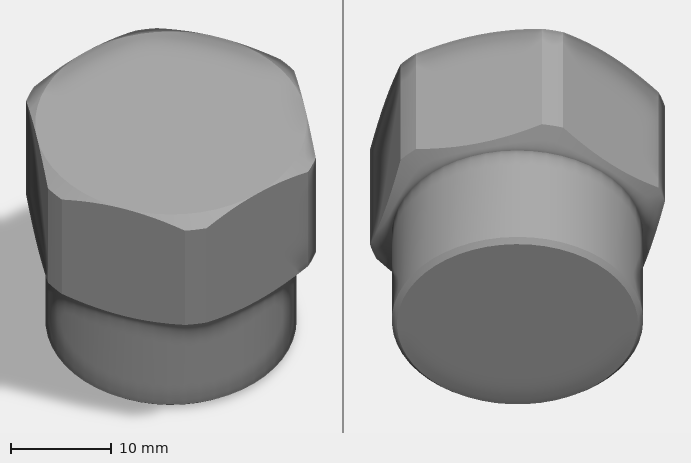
import cadquery as cq
import math

across_flats = 27.0
corner_diameter = 30.0
total_height = 27.0
shank_diameter = 24.98
shank_length = 12.0
shank_chamfer = 0.5
cone_angle = 30.0

corner_radius = corner_diameter / 2
flat_radius = across_flats / 2
shank_radius = shank_diameter / 2
head_height = total_height - shank_length
cone_slope = math.tan(math.radians(cone_angle))
top_cone_drop = (corner_radius - flat_radius) * cone_slope
bottom_cone_rise = (corner_radius - shank_radius) * cone_slope


def make_head():
    """Hexagonal head, with corners on X, trimmed by a double-coned cylinder."""
    across_corners = across_flats / math.cos(math.radians(30))
    hexagon = (
        cq.Workplane("XY")
        .workplane(offset=shank_length)
        .polygon(6, across_corners)
        .extrude(head_height)
    )
    turned_envelope = (
        cq.Workplane("XZ")
        .moveTo(0, shank_length)
        .lineTo(shank_radius, shank_length)
        .lineTo(corner_radius, shank_length + bottom_cone_rise)
        .lineTo(corner_radius, total_height - top_cone_drop)
        .lineTo(flat_radius, total_height)
        .lineTo(0, total_height)
        .close()
        .revolve(360, (0, 0), (0, 1))
    )
    return hexagon.intersect(turned_envelope)


def make_shank():
    """Round shank with a chamfered lower rim."""
    shank = cq.Workplane("XY").circle(shank_radius).extrude(shank_length)
    return shank.faces("<Z").edges().chamfer(shank_chamfer)


result = make_head().union(make_shank())